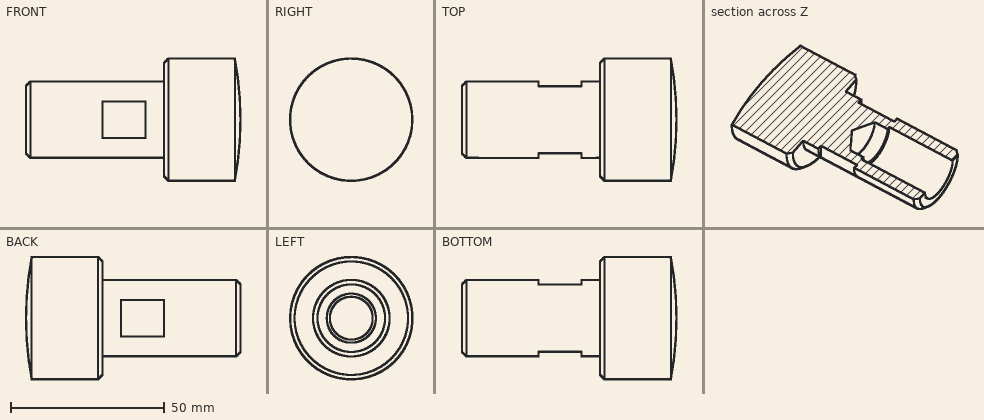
import cadquery as cq
import math

length = 70.0
head_diameter = 40.0
shank_diameter = 25.0
shank_length = 45.0
edge_chamfer = 1.5
dome_height = 1.9

flat_start = 25.0
flat_length = 14.0
across_flats = 22.0

bore_diameter = 16.0
bore_depth = 25.0
pilot_diameter = 14.0
pilot_depth = 30.0
drill_point_angle = 118.0


def turned_body():
    """Shank and domed head, revolved about the X axis."""
    head_radius = head_diameter / 2
    shank_radius = shank_diameter / 2
    dome_start = length - dome_height
    dome_radius = (head_radius**2 + dome_height**2) / (2 * dome_height)
    middle_radius = head_radius / 2
    middle_x = length - dome_radius + math.sqrt(dome_radius**2 - middle_radius**2)
    return (
        cq.Workplane("XY")
        .moveTo(0, 0)
        .lineTo(0, shank_radius - edge_chamfer)
        .lineTo(edge_chamfer, shank_radius)
        .lineTo(shank_length, shank_radius)
        .lineTo(shank_length, head_radius - edge_chamfer)
        .lineTo(shank_length + edge_chamfer, head_radius)
        .lineTo(dome_start, head_radius)
        .threePointArc((middle_x, middle_radius), (length, 0))
        .close()
        .revolve(360, (0, 0, 0), (1, 0, 0))
    )


def stepped_bore():
    """Cutter for the bore, the smaller pilot hole and its drill point."""
    bore_radius = bore_diameter / 2
    pilot_radius = pilot_diameter / 2
    point_length = pilot_radius / math.tan(math.radians(drill_point_angle / 2))
    return (
        cq.Workplane("XY")
        .moveTo(0, 0)
        .lineTo(0, bore_radius)
        .lineTo(bore_depth, bore_radius)
        .lineTo(bore_depth, pilot_radius)
        .lineTo(pilot_depth, pilot_radius)
        .lineTo(pilot_depth + point_length, 0)
        .close()
        .revolve(360, (0, 0, 0), (1, 0, 0))
    )


def flat_cutter(side):
    """Block that cuts one wrench flat; side is -1 or +1 along Y."""
    cut_depth = (head_diameter - across_flats) / 2
    center_x = flat_start + flat_length / 2
    center_y = side * (across_flats + cut_depth) / 2
    return cq.Workplane("XY").box(flat_length, cut_depth, shank_diameter).translate((center_x, center_y, 0))


result = turned_body().cut(stepped_bore())
for side in (-1, 1):
    result = result.cut(flat_cutter(side))